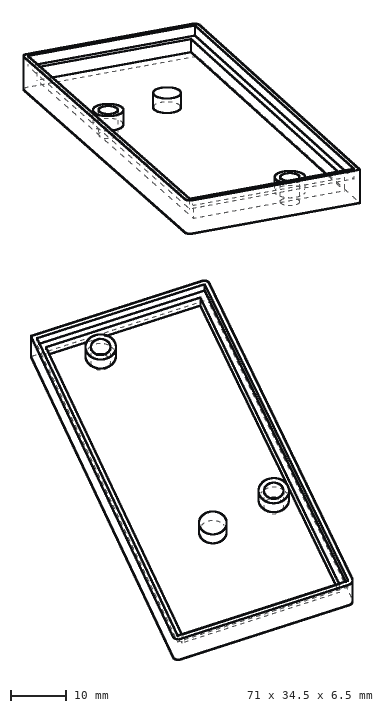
import cadquery as cq

length = 71.0
width_left = 34.5
front_taper = 0.6
height = 6.5
corner_radius = 1.0

rim_wall = 0.85
side_wall = 2.0
long_wall = 2.1
rim_depth = 2.0
floor_thickness = 2.0

post_height = 2.85
boss_diameter = 5.5
boss_hole_diameter = 3.5
boss_centers = [(29.8, 6.0), (-10.5, -11.5)]
pin_diameter = 5.0
pin_center = (-13.05, 1.2)


def tapered_block(end_inset, long_inset, bottom, top):
    """Prism with the tray outline, moved inward at the ends and along the long sides."""
    x = length / 2 - end_inset
    back = width_left / 2 - long_inset
    front_left = -width_left / 2 + long_inset
    front_right = front_left + front_taper
    outline = [(-x, back), (-x, front_left), (x, front_right), (x, back)]
    return cq.Workplane("XY").workplane(offset=bottom).polyline(outline).close().extrude(top - bottom)


def floor_post(centers, diameter):
    """Cylinders rising from the cavity floor, rooted in the floor itself."""
    posts = cq.Workplane("XY").pushPoints(centers).circle(diameter / 2)
    return posts.extrude(floor_thickness + post_height)


tray = tapered_block(0, 0, 0, height)
tray = tray.edges("|Z and (not (>X and >Y))").fillet(corner_radius)

tray = tray.cut(tapered_block(rim_wall, rim_wall, height - rim_depth, height))
tray = tray.cut(tapered_block(side_wall, long_wall, floor_thickness, height))

tray = tray.union(floor_post(boss_centers, boss_diameter))
tray = tray.union(floor_post([pin_center], pin_diameter))

screw_holes = cq.Workplane("XY").pushPoints(boss_centers).circle(boss_hole_diameter / 2).extrude(height)
result = tray.cut(screw_holes)